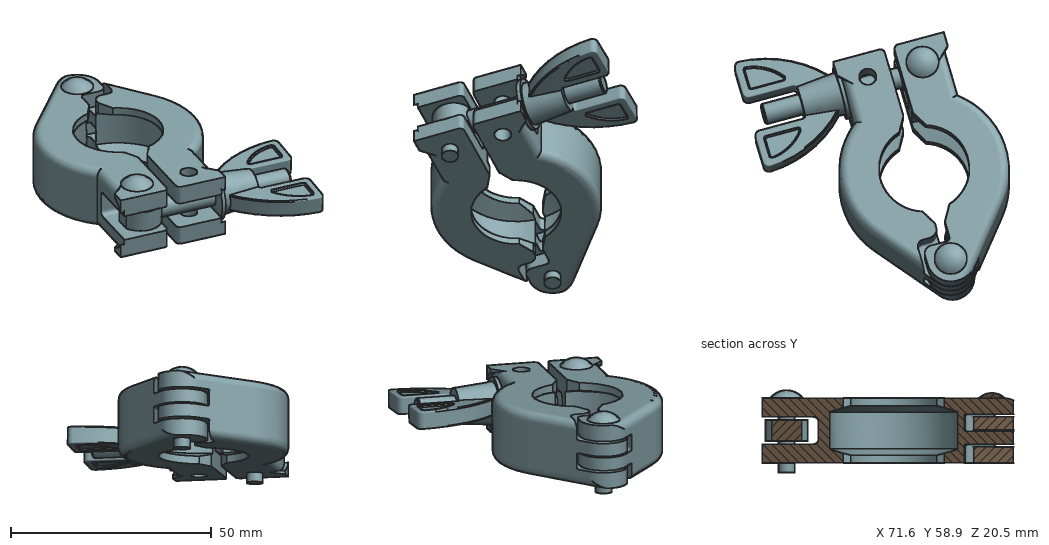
import cadquery as cq
import math


height = 16.25
half_height = height / 2
gap = 2.5
half_gap = gap / 2

bore_radius = 11.2
outer_radius = 21.2
edge_round = 2.15
facet_outer_x = 14.6
facet_bore_angle = math.radians(18)

groove_radius = 16.1
groove_half_mouth = 6.15
groove_half_bottom = 4.6

end_x = 32.8
arm_y = 13.3
end_corner_radius = 1.2

bolt_x = 26.7
pivot_y = 7.1
open_hole_diameter = 4.2
slot_start_x = 18.8
slot_width = 6.7
slot_corner_radius = 1.15

lug_y = 14.3
lug_start_x = 26.0
lug_clearance_radius = 7.6

hinge_x = -24.4
knuckle_radius = 5.95
knuckle_side = 4.6
knuckle_corner_radius = 2.15
knuckle_root_radius = 1.15
knuckle_gap = 0.6
middle_gap = 0.35
outer_knuckle_height = 4.1
pocket_wall_y = 7.1
pocket_side = 6.6
pocket_corner_radius = 1.8
pocket_mouth_radius = 2.3
pocket_floor_radius = 0.4

rivet_diameter = 4.1
rivet_head_diameter = 8.1
rivet_head_height = 1.9
rivet_tail = 2.35

bolt_diameter = 5.2
bolt_tip_y = 34.1
bolt_tip_chamfer = 0.35
eye_radius = 5.3
eye_center_y = -6.15
eye_thickness = 5.3
eye_flat_width = 4.3

washer_diameter = 13.0
washer_thickness = 1.0

nut_tilt = 3.3
hub_top_y = 24.3
hub_top_radius = 4.5
hub_base_radius = 5.45
wing_thickness = 4.4
wing_top_y = 37.7
wing_inner_x = 4.5
wing_outer_x = 14.45
wing_bulge = (11.0, 23.75)
wing_foot = (4.95, 15.95)
wing_corner_radius = 1.4
wing_root_radius = 0.85
wing_edge_round = 0.3
recess_inner_x = 6.45
recess_outer_x = 12.45
recess_top_y = 35.85
recess_shoulder_y = 34.55
recess_bulge = (10.95, 30.3)
recess_foot_y = 25.75
recess_depth = 0.5
recess_corner_radius = 0.7
recess_slope = 0.35

slant_angle = math.asin((outer_radius - knuckle_radius) / -hinge_x)
slant_normal = (-math.sin(slant_angle), math.cos(slant_angle))
slant_start = (outer_radius * slant_normal[0], outer_radius * slant_normal[1])
slant_end = (hinge_x + knuckle_radius * slant_normal[0], knuckle_radius * slant_normal[1])
arm_start = (math.sqrt(outer_radius**2 - arm_y**2), arm_y)
facet_end_x = bore_radius * math.cos(facet_bore_angle)
facet_end_y = bore_radius * math.sin(facet_bore_angle)
quarter = math.sqrt(0.5)
washer_top_y = arm_y + washer_thickness


def slab(profile):
    """Extrude a closed XY profile over the full height of the clamp."""
    return profile.extrude(height).translate((0, 0, -half_height))


def cross_cylinder(diameter, x, y):
    """Cylinder along Z, longer than the clamp is tall."""
    return cq.Workplane("XY").center(x, y).circle(diameter / 2).extrude(height, both=True)


def rounded_blank():
    """Oversized jaw whose outer edges are rounded; its straight flank runs on past the hinge."""
    overrun = 2 * knuckle_radius
    far_x = slant_end[0] - overrun * math.cos(slant_angle)
    far_y = slant_end[1] - overrun * math.sin(slant_angle)
    base_y = -pocket_wall_y
    profile = (
        cq.Workplane("XY")
        .moveTo(end_x, base_y)
        .lineTo(end_x, arm_y)
        .lineTo(*arm_start)
        .threePointArc((0, outer_radius), slant_start)
        .lineTo(far_x, far_y)
        .lineTo(far_x, base_y)
        .close()
    )
    rounded_side = cq.selectors.BoxSelector(
        (far_x + edge_round, 0, -height), (end_x - edge_round, outer_radius, height)
    )
    return slab(profile).faces("<Z or >Z").edges(rounded_side).fillet(edge_round)


def jaw_outline():
    """Plan of the jaw with its full-height knuckle."""
    side_x = hinge_x + knuckle_side
    corner_x = side_x - knuckle_corner_radius
    corner_y = -knuckle_radius + knuckle_corner_radius
    corner_mid = (corner_x + quarter * knuckle_corner_radius, corner_y - quarter * knuckle_corner_radius)
    root_x = side_x + knuckle_root_radius
    root_y = half_gap - knuckle_root_radius
    root_mid = (root_x - quarter * knuckle_root_radius, root_y + quarter * knuckle_root_radius)
    return (
        cq.Workplane("XY")
        .moveTo(end_x, half_gap)
        .lineTo(end_x, arm_y)
        .lineTo(*arm_start)
        .threePointArc((0, outer_radius), slant_start)
        .lineTo(*slant_end)
        .threePointArc((hinge_x - knuckle_radius, 0), (hinge_x, -knuckle_radius))
        .lineTo(corner_x, -knuckle_radius)
        .threePointArc(corner_mid, (side_x, corner_y))
        .lineTo(side_x, root_y)
        .threePointArc(root_mid, (root_x, half_gap))
        .lineTo(-facet_outer_x, half_gap)
        .lineTo(-facet_end_x, facet_end_y)
        .threePointArc((0, bore_radius), (facet_end_x, facet_end_y))
        .lineTo(facet_outer_x, half_gap)
        .close()
    )


def flange_groove():
    """Ring with sloping flanks that widens the bore between two lips."""
    return (
        cq.Workplane("XZ")
        .moveTo(0, -groove_half_mouth)
        .lineTo(bore_radius, -groove_half_mouth)
        .lineTo(groove_radius, -groove_half_bottom)
        .lineTo(groove_radius, groove_half_bottom)
        .lineTo(bore_radius, groove_half_mouth)
        .lineTo(0, groove_half_mouth)
        .close()
        .revolve(360, (0, 0, 0), (0, 1, 0))
    )


def hinge_pocket(bottom_z, top_z):
    """Room for one knuckle of the other jaw, with a small round along its closed ends."""
    far_x = hinge_x - 2 * knuckle_radius
    side_x = hinge_x + pocket_side
    corner_x = side_x - pocket_corner_radius
    corner_y = pocket_wall_y - pocket_corner_radius
    corner_mid = (corner_x + quarter * pocket_corner_radius, corner_y + quarter * pocket_corner_radius)
    mouth_x = side_x + pocket_mouth_radius
    mouth_y = half_gap + pocket_mouth_radius
    mouth_mid = (mouth_x - quarter * pocket_mouth_radius, mouth_y - quarter * pocket_mouth_radius)
    pocket = (
        cq.Workplane("XY")
        .workplane(offset=bottom_z)
        .moveTo(far_x, -pocket_wall_y)
        .lineTo(far_x, pocket_wall_y)
        .lineTo(corner_x, pocket_wall_y)
        .threePointArc(corner_mid, (side_x, corner_y))
        .lineTo(side_x, mouth_y)
        .threePointArc(mouth_mid, (mouth_x, half_gap))
        .lineTo(mouth_x, -pocket_wall_y)
        .close()
        .extrude(top_z - bottom_z)
    )
    wall = cq.selectors.BoxSelector(
        (far_x, half_gap, -height), (mouth_x, 2 * pocket_wall_y, height)
    )
    return pocket.faces("<Z or >Z").edges(wall).fillet(pocket_floor_radius)


def bolt_slot():
    """Slot through the jaw along Y, open at its free end."""
    length = 2 * (end_x - slot_start_x)
    return (
        cq.Workplane("XY")
        .box(length, 4 * lug_y, slot_width)
        .edges("|Y and <X")
        .fillet(slot_corner_radius)
        .translate((slot_start_x + length / 2, 0, 0))
    )


def corner_lugs():
    """Raised corners at the free end, cut round to clear the washer."""
    foot_y = arm_y - edge_round
    rise = lug_y - foot_y
    block = slab(
        cq.Workplane("XY").polyline(
            [(lug_start_x, foot_y), (lug_start_x + rise, lug_y), (end_x, lug_y), (end_x, foot_y)]
        ).close()
    )
    clearance = (
        cq.Workplane("XZ").center(bolt_x, 0).circle(lug_clearance_radius).extrude(-2 * lug_y)
    )
    return block.cut(clearance)


def make_jaw(hole_diameter):
    """Jaw on the +Y side."""
    mouth_corner = cq.selectors.NearestToPointSelector((end_x, half_gap, 0))
    plan = slab(jaw_outline()).edges(mouth_corner).fillet(end_corner_radius)
    knuckle_split = half_height - outer_knuckle_height
    jaw = plan.intersect(rounded_blank()).union(corner_lugs())
    jaw = jaw.cut(hinge_pocket(knuckle_split - knuckle_gap, height))
    jaw = jaw.cut(hinge_pocket(-knuckle_split, middle_gap / 2))
    jaw = jaw.cut(flange_groove()).cut(bolt_slot())
    jaw = jaw.cut(cross_cylinder(rivet_diameter, hinge_x, 0))
    return jaw.cut(cross_cylinder(hole_diameter, bolt_x, pivot_y))


upper_jaw = make_jaw(open_hole_diameter)
lower_jaw = make_jaw(rivet_diameter).rotate((0, 0, 0), (1, 0, 0), 180)


def make_rivet(x, y):
    """Domed rivet through the clamp along Z."""
    head_radius = rivet_head_diameter / 2
    dome_radius = (head_radius**2 + rivet_head_height**2) / (2 * rivet_head_height)
    dome_center_z = half_height + rivet_head_height - dome_radius
    mid_angle = math.asin(head_radius / dome_radius) / 2
    dome_mid = (dome_radius * math.sin(mid_angle), dome_center_z + dome_radius * math.cos(mid_angle))
    shank_radius = rivet_diameter / 2
    tail_z = -half_height - rivet_tail
    return (
        cq.Workplane("XZ")
        .moveTo(0, tail_z)
        .lineTo(shank_radius, tail_z)
        .lineTo(shank_radius, half_height)
        .lineTo(head_radius, half_height)
        .threePointArc(dome_mid, (0, half_height + rivet_head_height))
        .close()
        .revolve(360, (0, 0, 0), (0, 1, 0))
        .translate((x, y, 0))
    )


rivets = [make_rivet(x, y) for x, y in [(hinge_x, 0), (bolt_x, -pivot_y)]]


def make_bolt():
    """Shank along Y with a round eye, flattened front and back, that turns on the lower rivet."""
    shank = (
        cq.Workplane("XZ", origin=(bolt_x, -pivot_y, 0))
        .circle(bolt_diameter / 2)
        .extrude(-(bolt_tip_y + pivot_y))
        .faces(">Y")
        .chamfer(bolt_tip_chamfer)
    )
    flat_distance = math.sqrt(eye_radius**2 - (eye_flat_width / 2) ** 2)
    flats = cq.Workplane("XY").box(2 * eye_radius, 2 * flat_distance, eye_thickness)
    eye = cq.Workplane("XY").circle(eye_radius).extrude(eye_thickness / 2, both=True).intersect(flats)
    bolt = shank.union(eye.translate((bolt_x, eye_center_y, 0)))
    return bolt.cut(cross_cylinder(rivet_diameter, bolt_x, -pivot_y))


bolt = make_bolt()


washer = (
    cq.Workplane("XZ", origin=(bolt_x, arm_y, 0))
    .circle(washer_diameter / 2)
    .circle(bolt_diameter / 2)
    .extrude(-washer_thickness)
)


def make_wing():
    """Right-hand wing with a shallow recess in both faces, about the bolt axis."""
    root_x = wing_inner_x - wing_root_radius
    root_y = hub_top_y + wing_root_radius
    root_mid = (root_x + quarter * wing_root_radius, root_y - quarter * wing_root_radius)
    wing = (
        cq.Workplane("XY")
        .moveTo(wing_inner_x, wing_top_y)
        .lineTo(wing_outer_x, wing_top_y)
        .threePointArc(wing_bulge, wing_foot)
        .lineTo(root_x, wing_foot[1])
        .lineTo(root_x, hub_top_y)
        .threePointArc(root_mid, (wing_inner_x, root_y))
        .close()
        .extrude(wing_thickness / 2, both=True)
        .edges("|Z and >Y")
        .fillet(wing_corner_radius)
        .faces("<Z or >Z")
        .edges()
        .fillet(wing_edge_round)
    )
    recess = (
        cq.Workplane("XY")
        .moveTo(recess_inner_x, recess_top_y)
        .lineTo(recess_outer_x, recess_top_y)
        .lineTo(recess_outer_x, recess_shoulder_y)
        .threePointArc(recess_bulge, (recess_inner_x, recess_foot_y))
        .close()
        .extrude(recess_depth, both=True)
        .edges("|Z")
        .fillet(recess_corner_radius)
        .faces("<Z or >Z")
        .chamfer(recess_slope)
    )
    for face_z in (-wing_thickness / 2, wing_thickness / 2):
        wing = wing.cut(recess.translate((0, 0, face_z)))
    return wing


def make_wing_nut():
    """Tapered hub with two wings, turned a little about the bolt axis."""
    hub = (
        cq.Workplane("XY")
        .moveTo(0, washer_top_y)
        .lineTo(hub_base_radius, washer_top_y)
        .lineTo(hub_top_radius, hub_top_y)
        .lineTo(0, hub_top_y)
        .close()
        .revolve(360, (0, 0, 0), (0, 1, 0))
    )
    wing = make_wing()
    bore = cq.Workplane("XZ").circle(bolt_diameter / 2).extrude(-wing_top_y)
    nut = hub.union(wing).union(wing.mirror("YZ")).cut(bore)
    return nut.rotate((0, 0, 0), (0, 1, 0), nut_tilt).translate((bolt_x, 0, 0))


wing_nut = make_wing_nut()

result = cq.Compound.makeCompound(
    [
        upper_jaw.val(),
        lower_jaw.val(),
        *[rivet.val() for rivet in rivets],
        bolt.val(),
        washer.val(),
        wing_nut.val(),
    ]
)